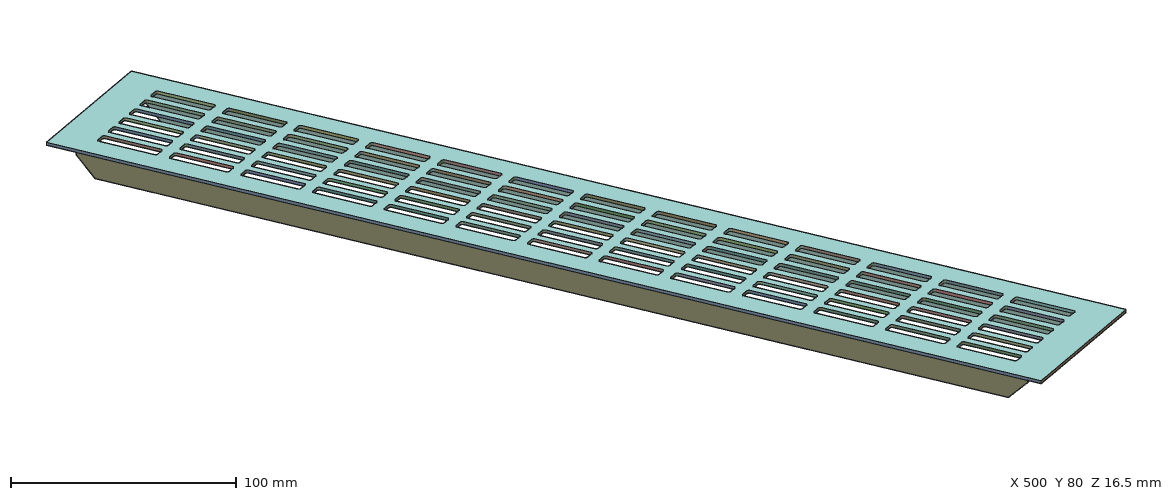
import cadquery as cq

plate_length = 500.0
plate_width = 80.0
plate_thickness = 1.5

overall_height = 16.5
flange_thickness = 2.5
flange_span = 65.0
flange_end_inset = 11.0
flange_chamfer = 9.5

slot_length = 30.0
slot_width = 6.0
slot_corner_radius = 1.0
slot_columns = 13
slot_rows = 6
column_pitch = 36.0
row_pitch = 10.0

flange_length = plate_length - 2 * flange_end_inset
flange_offset = (flange_span - flange_thickness) / 2


def make_plate():
    """Flat cover plate below Z = 0."""
    plate = cq.Workplane("XY").rect(plate_length, plate_width)
    return plate.extrude(-plate_thickness)


def make_flange(center_y):
    """Upright strip from the plate's top face down, with chamfered lower corners."""
    strip = (
        cq.Workplane("XY")
        .center(0, center_y)
        .rect(flange_length, flange_thickness)
        .extrude(-overall_height)
    )
    return strip.faces("<Z").edges("|Y").chamfer(flange_chamfer)


def make_slots():
    """Grid of rectangular cutters with rounded corners, as deep as the plate."""
    slots = (
        cq.Workplane("XY")
        .rarray(column_pitch, row_pitch, slot_columns, slot_rows)
        .rect(slot_length, slot_width)
        .extrude(-plate_thickness)
    )
    return slots.edges("|Z").fillet(slot_corner_radius)


result = make_plate()
for side in (-1, 1):
    result = result.union(make_flange(side * flange_offset))
result = result.cut(make_slots())